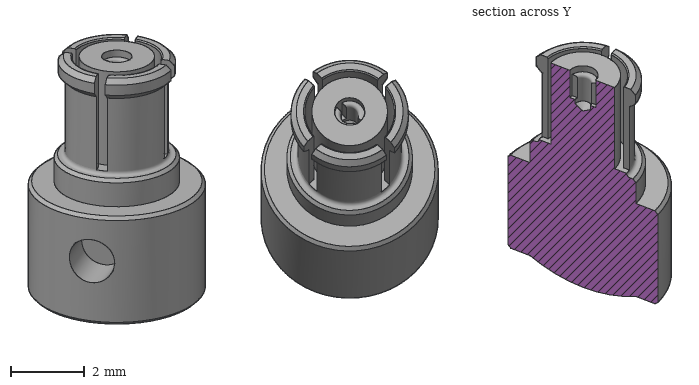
import cadquery as cq

total_height = 7.3
body_bottom = 0.39
body_top = 3.6
shoulder_top = 4.4
slot_floor = 4.51
lip_cone_bottom = 6.68
lip_cone_top = 6.855
lip_chamfer_bottom = 7.16

body_radius = 2.4
shoulder_radius = 1.7
neck_radius = 1.4
lip_radius = 1.59
lip_top_radius = 1.445
dome_radius = 1.685
edge_chamfer = 0.095
neck_fillet = slot_floor - shoulder_top

socket_radius = 1.21
insulator_radius = 1.02
mouth_chamfer = 0.04
slot_width = 0.31

pin_radius = 0.41
pin_top = 7.095
pin_bore_radius = 0.24
pin_mouth_round = 0.09
pin_bore_depth = 0.875
drill_tip_depth = 0.145
pin_slot_width = 0.19
pin_slot_depth = 0.73

side_hole_diameter = 1.28
side_hole_height = 2.255
side_hole_floor = 1.17


def make_shell():
    """Solid of revolution with domed base, body, shoulder, neck and lip."""
    sphere_radius = (dome_radius**2 + body_bottom**2) / (2 * body_bottom)
    mid_radius = dome_radius / 2
    mid_height = sphere_radius - (sphere_radius**2 - mid_radius**2) ** 0.5
    fillet_shift = neck_fillet * (1 - 0.5**0.5)
    profile = (
        cq.Workplane("XZ")
        .moveTo(0, 0)
        .threePointArc((mid_radius, mid_height), (dome_radius, body_bottom))
        .lineTo(body_radius - edge_chamfer, body_bottom)
        .lineTo(body_radius, body_bottom + edge_chamfer)
        .lineTo(body_radius, body_top - edge_chamfer)
        .lineTo(body_radius - edge_chamfer, body_top)
        .lineTo(shoulder_radius, body_top)
        .lineTo(shoulder_radius, shoulder_top - edge_chamfer)
        .lineTo(shoulder_radius - edge_chamfer, shoulder_top)
        .lineTo(neck_radius + neck_fillet, shoulder_top)
        .threePointArc(
            (neck_radius + fillet_shift, shoulder_top + fillet_shift),
            (neck_radius, slot_floor),
        )
        .lineTo(neck_radius, lip_cone_bottom)
        .lineTo(lip_radius, lip_cone_top)
        .lineTo(lip_radius, lip_chamfer_bottom)
        .lineTo(lip_top_radius, total_height)
        .lineTo(0, total_height)
        .close()
    )
    return profile.revolve(360, (0, 0, 0), (0, 1, 0))


def make_socket():
    """Annular cavity with a chamfered mouth."""
    return (
        cq.Workplane("XZ")
        .moveTo(insulator_radius, slot_floor)
        .lineTo(socket_radius, slot_floor)
        .lineTo(socket_radius, total_height - mouth_chamfer)
        .lineTo(socket_radius + mouth_chamfer, total_height)
        .lineTo(insulator_radius, total_height)
        .close()
        .revolve(360, (0, 0, 0), (0, 1, 0))
    )


def make_finger_slots():
    """Crossed slots that split the neck into four fingers, clear of the insulator."""
    depth = total_height - slot_floor
    base = cq.Workplane("XY").workplane(offset=slot_floor)
    along_x = base.rect(2 * lip_radius, slot_width).extrude(depth)
    along_y = base.rect(slot_width, 2 * lip_radius).extrude(depth)
    insulator = base.circle(insulator_radius).extrude(depth)
    return along_x.union(along_y).cut(insulator)


def make_pin_recess():
    """Recess above the pin, its round-edged bore and its cross slot."""
    round_shift = pin_mouth_round * (1 - 0.5**0.5)
    bore_floor = pin_top - pin_bore_depth
    recess = (
        cq.Workplane("XZ")
        .moveTo(0, total_height)
        .lineTo(pin_radius, total_height)
        .lineTo(pin_radius, pin_top)
        .lineTo(pin_bore_radius + pin_mouth_round, pin_top)
        .threePointArc(
            (pin_bore_radius + round_shift, pin_top - round_shift),
            (pin_bore_radius, pin_top - pin_mouth_round),
        )
        .lineTo(pin_bore_radius, bore_floor)
        .lineTo(0, bore_floor - drill_tip_depth)
        .close()
        .revolve(360, (0, 0, 0), (0, 1, 0))
    )
    slot_base = cq.Workplane("XY").workplane(offset=pin_top - pin_slot_depth)
    pin = slot_base.circle(pin_radius).extrude(pin_slot_depth)
    slot = slot_base.rect(2 * pin_radius, pin_slot_width).extrude(pin_slot_depth)
    return recess.union(slot.intersect(pin))


def make_side_hole():
    """Flat-bottomed radial hole."""
    return (
        cq.Workplane("XZ", origin=(0, -side_hole_floor, side_hole_height))
        .circle(side_hole_diameter / 2)
        .extrude(body_radius)
    )


result = (
    make_shell()
    .cut(make_socket())
    .cut(make_finger_slots())
    .cut(make_pin_recess())
    .cut(make_side_hole())
)